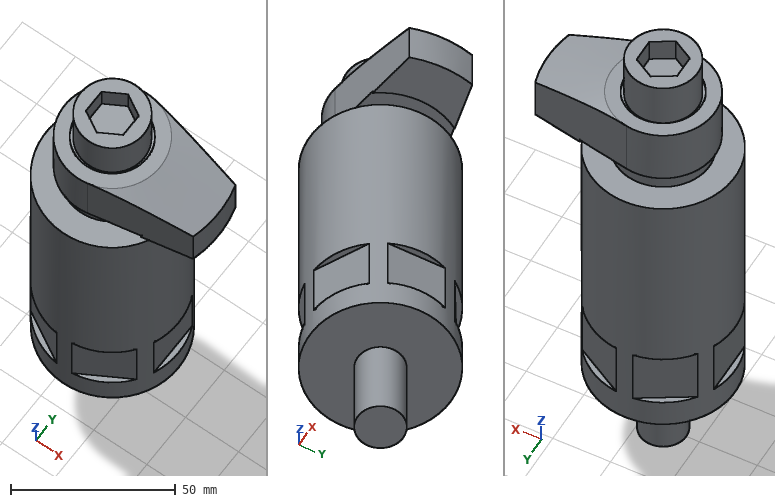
import cadquery as cq
import math

total_height = 171.0

housing_radius = 25.0
housing_bottom = 30.0
housing_top = 130.0
spigot_radius = 16.0
flat_count = 6
flat_width = 19.8
flat_height = 20.0
flat_bottom = 40.0

hub_radius = 18.0
hub_bottom = 136.1
hub_top = 156.0
lever_reach = 40.0
tip_half_width = 11.0
arm_drop = 5.8
pad_depth = 0.9
pad_inner_radius = 25.5
counterbore_radius = 13.0

shank_radius = 8.0
head_radius = 12.0
head_bottom = 155.0
socket_across_flats = 14.0
socket_depth = 8.0


def cylinder(radius, bottom, top):
    return cq.Workplane("XY").workplane(offset=bottom).circle(radius).extrude(top - bottom)


def make_housing():
    body = cylinder(housing_radius, housing_bottom, housing_top)
    body = body.union(cylinder(spigot_radius, housing_top, hub_bottom))
    body = body.cut(cylinder(shank_radius, housing_bottom, hub_bottom))

    flat_distance = math.sqrt(housing_radius**2 - (flat_width / 2)**2)
    cutter = (
        cq.Workplane("XY")
        .box(housing_radius, 2 * housing_radius, flat_height, centered=(False, True, False))
        .translate((flat_distance, 0, flat_bottom))
    )
    for i in range(flat_count):
        body = body.cut(cutter.rotate((0, 0, 0), (0, 0, 1), i * 360 / flat_count))
    return body


def make_arm():
    tip_x = math.sqrt(lever_reach**2 - tip_half_width**2)
    tangent_angle = math.atan2(tip_half_width, tip_x) + math.acos(hub_radius / lever_reach)
    tangent_x = hub_radius * math.cos(tangent_angle)
    tangent_y = hub_radius * math.sin(tangent_angle)
    arm_bottom = hub_bottom - pad_depth
    outline = (
        cq.Workplane("XY")
        .workplane(offset=arm_bottom)
        .moveTo(tangent_x, -tangent_y)
        .lineTo(tip_x, -tip_half_width)
        .threePointArc((lever_reach, 0), (tip_x, tip_half_width))
        .lineTo(tangent_x, tangent_y)
        .close()
        .extrude(hub_top - arm_bottom)
    )

    envelope_radius = lever_reach + 1.7
    top_slope = arm_drop / (lever_reach - hub_radius)
    envelope_edge = hub_top - top_slope * (envelope_radius - hub_radius)
    envelope = (
        cq.Workplane("XZ")
        .polyline([
            (0, hub_bottom),
            (pad_inner_radius, hub_bottom),
            (pad_inner_radius, arm_bottom),
            (envelope_radius, arm_bottom),
            (envelope_radius, envelope_edge),
            (hub_radius, hub_top),
            (0, hub_top),
        ])
        .close()
        .revolve(360, (0, 0, 0), (0, 1, 0))
    )
    return outline.intersect(envelope)


def make_lever():
    body = cylinder(hub_radius, hub_bottom, hub_top).union(make_arm())
    body = body.cut(cylinder(shank_radius, hub_bottom, hub_top))
    return body.cut(cylinder(counterbore_radius, head_bottom, hub_top))


def make_screw():
    body = cylinder(shank_radius, 0, head_bottom)
    body = body.union(cylinder(head_radius, head_bottom, total_height))

    socket_across_corners = socket_across_flats / math.cos(math.pi / 6)
    socket = (
        cq.Workplane("XY")
        .workplane(offset=total_height - socket_depth)
        .polygon(6, socket_across_corners)
        .extrude(socket_depth)
        .rotate((0, 0, 0), (0, 0, 1), 30)
    )
    return body.cut(socket)


housing = make_housing()
lever = make_lever()
screw = make_screw()

result = cq.Compound.makeCompound([housing.val(), lever.val(), screw.val()])